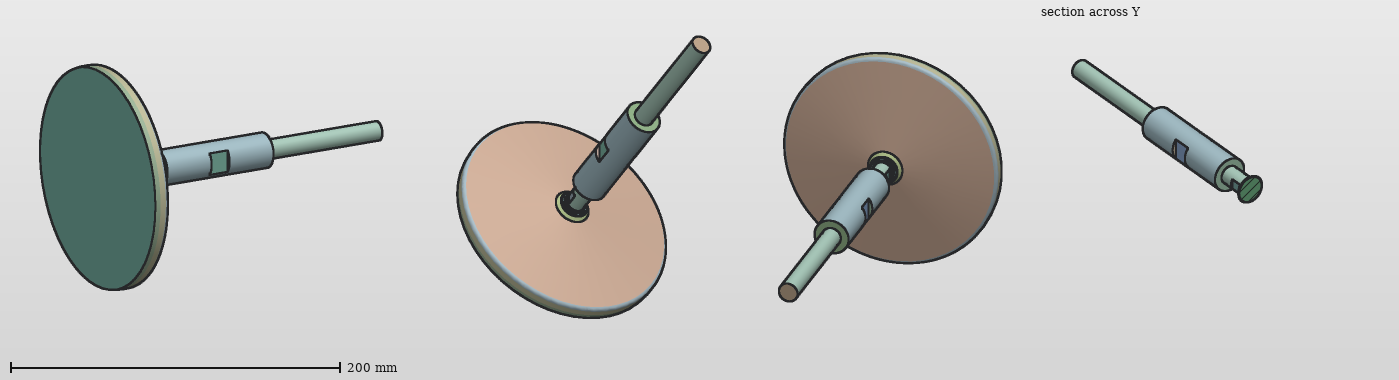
import cadquery as cq


foot_radius = 138.0 / 2
underside_radius = 68.5
rim_taper_height = 3.5
rim_corner_height = 9.3
rim_fillet = 2.4
neck_base_radius = 11.0
neck_base_height = 19.0
neck_top_radius = 8.5
collar_bottom_height = 21.2
collar_radius = 9.0
collar_edge_radius = 8.3
collar_top_height = 22.2
collar_mid_height = (collar_bottom_height + collar_top_height) / 2

overall_length = 198.0
spindle_radius = 12.0 / 2
flare_radius = 6.7
flare_height = 23.5
spindle_flat_width = 10.0
spindle_flat_length = 8.0
spindle_flat_center = 29.1

sleeve_radius = 22.0 / 2
sleeve_start = 43.0
sleeve_length = 75.0
sleeve_flat_width = 17.2
sleeve_flat_length = 12.7
sleeve_flat_center = sleeve_start + sleeve_length / 2


def cut_flats(body, body_radius, width_across_flats, flat_length, center_height):
    """Cut two opposite flats, facing -X and +X, into a round body."""
    cutter_size = 2 * body_radius
    for side in (-1, 1):
        cutter_center = side * (width_across_flats + cutter_size) / 2
        cutter = cq.Workplane("XY").box(cutter_size, flat_length, cutter_size)
        body = body.cut(cutter.translate((cutter_center, center_height, 0)))
    return body


def revolve_about_y(profile):
    """Turn a closed half profile, drawn as (radius, height), into a solid."""
    return profile.revolve(360, (0, 0, 0), (0, 1, 0))


def make_foot():
    profile = (
        cq.Workplane("XY")
        .lineTo(underside_radius, 0)
        .lineTo(foot_radius, rim_taper_height)
        .lineTo(foot_radius, rim_corner_height)
        .lineTo(neck_base_radius, neck_base_height)
        .lineTo(neck_top_radius, collar_bottom_height)
        .lineTo(collar_edge_radius, collar_bottom_height)
        .lineTo(collar_radius, collar_mid_height)
        .lineTo(collar_edge_radius, collar_top_height)
        .lineTo(0, collar_top_height)
        .close()
    )
    foot_body = revolve_about_y(profile)
    corner_band = cq.selectors.BoxSelector(
        (-foot_radius, rim_corner_height - rim_fillet, -foot_radius),
        (foot_radius, rim_corner_height + rim_fillet, foot_radius),
    )
    return foot_body.edges("%CIRCLE").edges(corner_band).fillet(rim_fillet)


def make_spindle():
    profile = (
        cq.Workplane("XY")
        .moveTo(0, collar_top_height)
        .lineTo(flare_radius, collar_top_height)
        .lineTo(spindle_radius, flare_height)
        .lineTo(spindle_radius, overall_length)
        .lineTo(0, overall_length)
        .close()
    )
    return cut_flats(
        revolve_about_y(profile),
        spindle_radius,
        spindle_flat_width,
        spindle_flat_length,
        spindle_flat_center,
    )


def make_sleeve():
    wall = sleeve_radius - spindle_radius
    profile = (
        cq.Workplane("XY")
        .moveTo(spindle_radius, sleeve_start)
        .rect(wall, sleeve_length, centered=False)
    )
    return cut_flats(
        revolve_about_y(profile),
        sleeve_radius,
        sleeve_flat_width,
        sleeve_flat_length,
        sleeve_flat_center,
    )


foot = make_foot()
spindle = make_spindle()
sleeve = make_sleeve()

result = cq.Compound.makeCompound([foot.val(), spindle.val(), sleeve.val()])